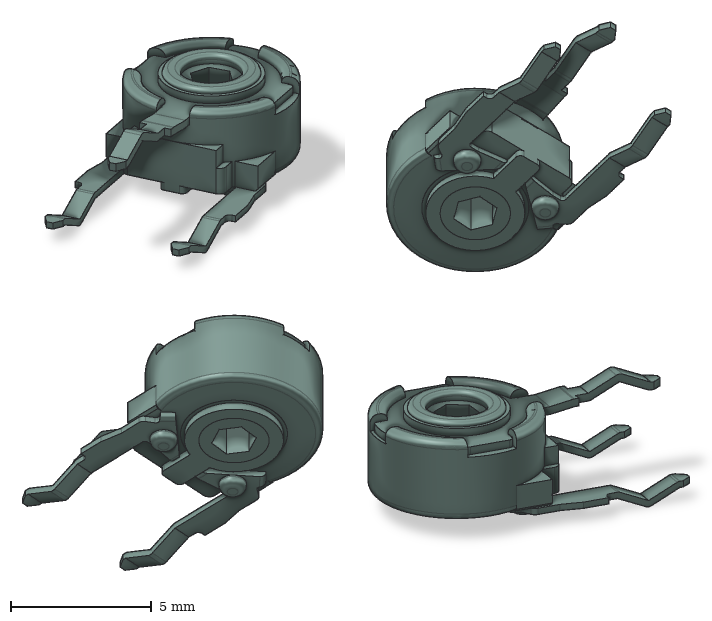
import cadquery as cq
import math


overall_length = 11.04

housing_diameter = 6.3
housing_radius = housing_diameter / 2
rim_top = 3.02
rim_inner_diameter = 4.97
rim_fillet = 0.3
bottom_fillet = 0.25
cavity_diameter = 5.5
front_face_y = -3.17

side_notch_width = 1.9
end_notch_width = 1.3

front_block_width = 3.51
front_block_height = 1.7
ear_span = 4.03
ear_height = 1.0
ear_fillet = 0.29

side_block_span = 6.01
side_block_front_y = -2.35
side_block_chamfer = 0.1

base_disc_diameter = 3.51
base_height = 0.3
base_stem_width = 1.02
base_stem_fillet = 0.2

rivet_offset = 1.77
rivet_shank_diameter = 0.7
rivet_head_diameter = 0.98
rivet_head_height = 0.36
rivet_head_fillet = 0.3

rotor_diameter = 3.8
rotor_foot_diameter = 2.5
ring_outer_diameter = 3.51
ring_inner_diameter = 2.2
ring_height = 0.2
recess_depth = 0.36
hex_across_corners = 1.61
hex_turn = 3.0

wiper_thickness = 0.3
plate_top = rim_top - rim_fillet
plate_bottom = plate_top - wiper_thickness
side_tab_span = 5.64
tab_fillet = 0.19
end_tab_radius = 3.01
wiper_neck_width = 1.25
wiper_rise = 0.13
wiper_rise_angle = 8.0
wiper_rise_y = -3.35

terminal_thickness = 0.24
terminal_span = 6.35
terminal_root_x = 3.01
terminal_root_y = -1.65
flare_start_y = -2.65
flare_end_y = -3.49
shoulder_fillet = 0.19
pad_fillet = 0.13
root_fillet = 0.26
tip_round = 0.22

lead_spacing = 2.5
lead_width = 0.71
lead_end_y = housing_radius - overall_length
tip_length = 0.35
tip_width = 0.24
shoulder_y = -4.48
kink_start_y = -4.97
kink_height = 0.53
kink_angle = 24.5


def block(x_range, y_range, z_range):
    """Box given by its limits along each axis."""
    size = [high - low for low, high in (x_range, y_range, z_range)]
    corner = (x_range[0], y_range[0], z_range[0])
    return cq.Workplane("XY").box(*size, centered=False).translate(corner)


def wide_block(width, y_range, z_range):
    """Box centred on the YZ plane."""
    return block((-width / 2, width / 2), y_range, z_range)


def disc(diameter, bottom, top):
    """Cylinder on the rotor axis."""
    return cq.Workplane("XY").workplane(offset=bottom).circle(diameter / 2).extrude(top - bottom)


def sloped_length(rise, angle, thickness):
    """Straight length of a strip that climbs by a rise between two opposite bends."""
    slope = math.radians(angle)
    return (rise - thickness * (1 - math.cos(slope))) / math.sin(slope)


def sloped_reach(rise, angle, thickness):
    """Distance along -Y between the pivots of the same two bends."""
    slope = math.radians(angle)
    return sloped_length(rise, angle, thickness) * math.cos(slope) + thickness * math.sin(slope)


def bent_strip(start_y, bottom, thickness, steps, width):
    """Sheet strip running toward -Y, centred on the YZ plane.

    Each step is ("go", length) or ("turn", degrees), upward turns being positive.
    A turn pivots about the inner face of the bend, so the outer face is an arc.
    """
    def ahead(angle):
        return cq.Vector(0, -math.cos(angle), math.sin(angle))

    def across(angle):
        return cq.Vector(0, math.sin(angle), math.cos(angle)) * thickness

    heading = 0.0
    lower = cq.Vector(0, start_y, bottom)
    edges = [cq.Edge.makeLine(lower, lower + across(heading))]
    for action, amount in steps:
        upper = lower + across(heading)
        if action == "go":
            advance = ahead(heading) * amount
            edges.append(cq.Edge.makeLine(lower, lower + advance))
            edges.append(cq.Edge.makeLine(upper, upper + advance))
            lower = lower + advance
            continue
        turn = math.radians(amount)
        middle = heading + turn / 2
        heading += turn
        if turn > 0:
            next_lower = upper - across(heading)
            edges.append(cq.Edge.makeThreePointArc(lower, upper - across(middle), next_lower))
            lower = next_lower
        else:
            next_upper = lower + across(heading)
            edges.append(cq.Edge.makeThreePointArc(upper, lower + across(middle), next_upper))
    edges.append(cq.Edge.makeLine(lower, lower + across(heading)))
    face = cq.Face.makeFromWires(cq.Wire.assembleEdges(edges))
    strip = cq.Solid.extrudeLinear(face, cq.Vector(width, 0, 0))
    return cq.Workplane(strip).translate((-width / 2, 0, 0))


def kink_and_tip(thickness, direction):
    """Steps of the V-shaped kink and the flat tip, kinked up (+1) or down (-1)."""
    slope = sloped_length(kink_height, kink_angle, thickness)
    kink_end_y = kink_start_y - 2 * sloped_reach(kink_height, kink_angle, thickness)
    angle = direction * kink_angle
    return [
        ("turn", angle),
        ("go", slope),
        ("turn", -2 * angle),
        ("go", slope),
        ("turn", angle),
        ("go", kink_end_y - lead_end_y),
    ]


def lead_tip_points(center_x):
    """Plan outline of the tapered lead tip, from the -X side to the +X side."""
    return [
        (center_x - lead_width / 2, lead_end_y + tip_length),
        (center_x - tip_width / 2, lead_end_y),
        (center_x + tip_width / 2, lead_end_y),
        (center_x + lead_width / 2, lead_end_y + tip_length),
    ]


def make_housing():
    body = disc(housing_diameter, 0, rim_top)
    body = body.faces("<Z").edges().fillet(bottom_fillet)
    body = body.cut(disc(rim_inner_diameter, plate_bottom, rim_top))
    body = body.faces(">Z").edges().fillet(rim_fillet)

    body = body.union(wide_block(front_block_width, (front_face_y, 0), (0, front_block_height)))
    ears = wide_block(ear_span, (front_face_y, 0), (0, ear_height))
    body = body.union(ears.edges("|Z and <Y").fillet(ear_fillet))

    side_block_back_y = -math.sqrt(housing_radius ** 2 - (side_block_span / 2) ** 2)
    side_blocks = wide_block(side_block_span, (side_block_front_y, side_block_back_y), (0, ear_height))
    body = body.union(side_blocks.edges("|Y and <Z").chamfer(side_block_chamfer))

    between_x = math.sqrt(housing_radius ** 2 - side_block_front_y ** 2)
    between = wide_block(2 * between_x, (front_face_y, side_block_front_y), (0, ear_height))
    body = body.union(disc(housing_diameter, 0, ear_height).intersect(between))

    stem = wide_block(base_stem_width, (front_face_y, 0), (-base_height, 0))
    body = body.union(stem.edges("|Z and <Y").fillet(base_stem_fillet))
    body = body.union(disc(base_disc_diameter, -base_height, 0))

    body = body.cut(disc(cavity_diameter, plate_bottom, plate_top))
    across = (-housing_diameter, housing_diameter)
    notch_z = (plate_bottom, rim_top)
    body = body.cut(wide_block(end_notch_width, across, notch_z))
    body = body.cut(block(across, (-side_notch_width / 2, side_notch_width / 2), notch_z))
    body = body.cut(disc(rotor_diameter, 0, plate_bottom))
    body = body.cut(disc(rotor_foot_diameter, -base_height, 0))

    head_bottom = -terminal_thickness - rivet_head_height
    head = disc(rivet_head_diameter, head_bottom, -terminal_thickness)
    head = head.faces("<Z").edges().fillet(rivet_head_fillet)
    rivet = head.union(disc(rivet_shank_diameter, -terminal_thickness, 0))
    for side in (-1, 1):
        body = body.union(rivet.translate((side * rivet_offset, -rivet_offset, 0)))
    return body


def make_rotor():
    ring_top = rim_top + ring_height
    recess_floor = ring_top - recess_depth
    ring = disc(ring_outer_diameter, recess_floor, ring_top)
    ring = ring.faces(">Z").workplane().circle(ring_inner_diameter / 2).cutThruAll()
    ring = ring.faces(">Z").edges().fillet(ring_height)
    flange = disc(rotor_diameter, 0, rim_top)
    flange = flange.cut(disc(ring_inner_diameter, recess_floor, rim_top))
    rotor = flange.union(ring).union(disc(rotor_foot_diameter, -base_height, 0))
    hexagon = (
        cq.Workplane("XY")
        .workplane(offset=-base_height)
        .polygon(6, hex_across_corners)
        .extrude(ring_top + base_height)
        .rotate((0, 0, 0), (0, 0, 1), hex_turn)
    )
    return rotor.cut(hexagon)


def make_wiper():
    plate_z = (plate_bottom, plate_top)
    plate = disc(cavity_diameter, *plate_z)
    side_tabs = wide_block(side_tab_span, (-side_notch_width / 2, side_notch_width / 2), plate_z)
    plate = plate.union(side_tabs.edges("|Z").fillet(tab_fillet))
    end_tab = wide_block(end_notch_width, (0, housing_radius), plate_z)
    end_tab = end_tab.intersect(disc(2 * end_tab_radius, *plate_z))
    plate = plate.union(end_tab.edges("|Z and (not <Y)").fillet(tab_fillet))

    rise_end_y = wiper_rise_y - sloped_reach(wiper_rise, wiper_rise_angle, wiper_thickness)
    steps = [
        ("go", -wiper_rise_y),
        ("turn", wiper_rise_angle),
        ("go", sloped_length(wiper_rise, wiper_rise_angle, wiper_thickness)),
        ("turn", -wiper_rise_angle),
        ("go", rise_end_y - kink_start_y),
        *kink_and_tip(wiper_thickness, 1),
    ]
    strip = bent_strip(0, plate_bottom, wiper_thickness, steps, wiper_neck_width)
    outline = [
        (-wiper_neck_width / 2, 0),
        (-wiper_neck_width / 2, shoulder_y),
        (-lead_width / 2, shoulder_y),
        *lead_tip_points(0),
        (lead_width / 2, shoulder_y),
        (wiper_neck_width / 2, shoulder_y),
        (wiper_neck_width / 2, 0),
    ]
    lead_plan = cq.Workplane("XY").polyline(outline).close().extrude(overall_length)
    wiper = plate.union(strip.intersect(lead_plan))
    return wiper.cut(disc(rotor_diameter, *plate_z))


def make_left_terminal():
    outer_x = -terminal_span / 2
    lead_outer_x = -lead_spacing - lead_width / 2
    lead_inner_x = -lead_spacing + lead_width / 2
    stem_x = -base_stem_width / 2

    pad_front = (-1.69, -2.32)
    front_arm_outer = (stem_x, -2.48)
    front_arm_inner = (stem_x, -2.19)
    back_arm_inner = (-2.32, -0.65)
    back_arm_outer = (-2.69, -1.03)
    back_arm_root = (-2.5, -1.3)
    outline = [
        (-terminal_root_x, terminal_root_y),
        (-terminal_root_x, flare_start_y),
        (outer_x, flare_end_y),
        (outer_x, shoulder_y),
        (lead_outer_x, shoulder_y),
        *lead_tip_points(-lead_spacing),
        (lead_inner_x, pad_front[1]),
        pad_front,
        front_arm_outer,
        front_arm_inner,
        back_arm_inner,
        back_arm_outer,
        back_arm_root,
    ]
    plan = (
        cq.Workplane("XY")
        .workplane(offset=-overall_length / 2)
        .polyline(outline)
        .close()
        .extrude(overall_length)
    )

    def upright_edge(x, y):
        return cq.selectors.NearestToPointSelector((x, y, 0))

    plan = plan.edges("|Z").edges(upright_edge(lead_outer_x, shoulder_y)).fillet(shoulder_fillet)
    plan = plan.edges("|Z").edges(upright_edge(lead_inner_x, pad_front[1])).fillet(pad_fillet)
    plan = plan.edges("|Z").edges(upright_edge(*outline[0])).fillet(root_fillet)
    plan = plan.edges("|Z").edges(upright_edge(*back_arm_root)).fillet(pad_fillet)

    steps = [("go", -kink_start_y), *kink_and_tip(terminal_thickness, -1)]
    strip = bent_strip(0, -terminal_thickness, terminal_thickness, steps, terminal_span)
    terminal = strip.intersect(plan)

    for start, end in ((front_arm_outer, front_arm_inner), (back_arm_inner, back_arm_outer)):
        middle = ((start[0] + end[0]) / 2, (start[1] + end[1]) / 2, -terminal_thickness)
        terminal = terminal.edges(cq.selectors.NearestToPointSelector(middle)).fillet(tip_round)

    rivet_hole = disc(rivet_shank_diameter, -terminal_thickness, 0)
    return terminal.cut(rivet_hole.translate((-rivet_offset, -rivet_offset, 0)))


housing = make_housing()
rotor = make_rotor()
wiper = make_wiper()
left_terminal = make_left_terminal()
end_terminals = [left_terminal, left_terminal.mirror("YZ")]

result = cq.Compound.makeCompound(
    [
        housing.val(),
        rotor.val(),
        wiper.val(),
        *[terminal.val() for terminal in end_terminals],
    ]
)